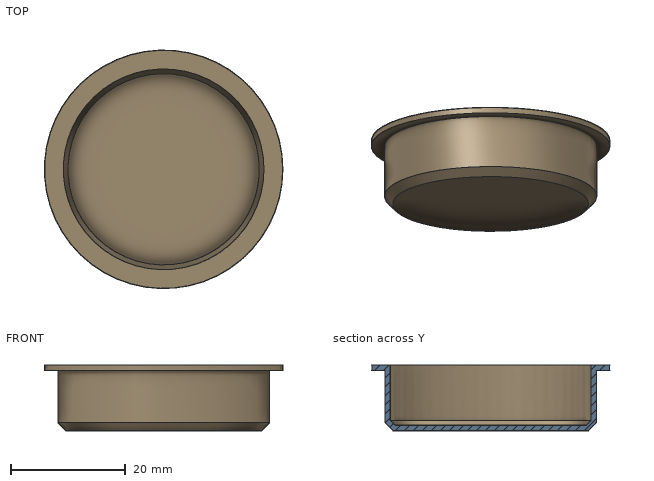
import cadquery as cq
import math

flange_diameter = 41.6
flange_thickness = 1.0
body_diameter = 37.0
total_height = 11.5
wall = 1.0
slope_length = 2.0

bottom_chamfer = slope_length / math.sqrt(2)
cavity_diameter = body_diameter - 2 * wall
cavity_depth = total_height - wall
cavity_chamfer = bottom_chamfer - wall * (2 - math.sqrt(2))
flange_base = total_height - flange_thickness


def disc(diameter, height, base_z):
    """Vertical cylinder standing on the level base_z."""
    return cq.Workplane("XY").workplane(offset=base_z).circle(diameter / 2).extrude(height)


def chamfered_disc(diameter, height, base_z, chamfer):
    """Vertical cylinder with its lower edge chamfered at 45 degrees."""
    return disc(diameter, height, base_z).faces("<Z").chamfer(chamfer)


body = chamfered_disc(body_diameter, total_height, 0, bottom_chamfer)

flange = disc(flange_diameter, flange_thickness, flange_base)

cavity = chamfered_disc(cavity_diameter, cavity_depth, wall, cavity_chamfer)

result = body.union(flange).cut(cavity)